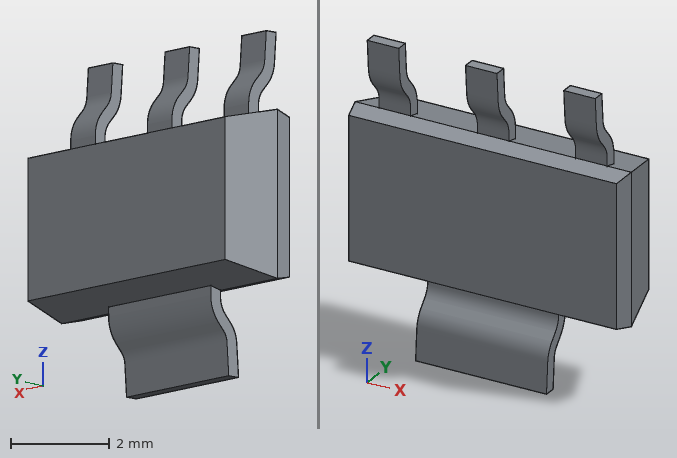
import cadquery as cq
import math

body_width = 6.48
body_height = 3.505
back_depth = 1.19
front_depth = 0.43
draft_angle = 13.0

overall_height = 6.98
tip_z = overall_height / 2
sheet_thickness = 0.27
embed_depth = 0.42
root_z = body_height / 2 - embed_depth
tip_tilt = math.radians(4.0)

lead_width = 0.74
lead_pitch = 2.3
lead_count = 3
lead_bend_z = 1.92
lead_root_radius = 0.49
lead_tip_radius = 0.76
lead_slope_angle = math.radians(41.0)
lead_slope_length = 0.21

tab_width = 3.07
tab_bend_z = 1.89
tab_root_radius = 0.5
tab_tip_radius = 0.65
tab_slope_angle = math.radians(42.5)
tab_slope_length = 0.215


def body_half(depth, direction):
    """One half of the housing, tapering away from the parting plane."""
    plane = cq.Plane(origin=(0, 0, 0), xDir=(1, 0, 0), normal=(0, direction, 0))
    return cq.Workplane(plane).rect(body_width, body_height).extrude(depth, taper=draft_angle)


def polar(center, radius, angle):
    """Point at a radius and angle from a centre in the YZ plane."""
    return (center[0] + radius * math.cos(angle), center[1] + radius * math.sin(angle))


def trace_face(profile, points):
    """Continue a profile along a face made of three straights joined by two arcs."""
    return (
        profile.lineTo(*points[1])
        .threePointArc(points[2], points[3])
        .lineTo(*points[4])
        .threePointArc(points[5], points[6])
        .lineTo(*points[7])
    )


def formed_strip(width, bend_z, root_radius, tip_radius, slope_angle, slope_length):
    """Upward strip that bends toward -Y, runs along a slope and bends back to a tilted tip.

    The radii belong to the front face of the strip.
    """
    root_center = (-root_radius, bend_z)
    slope_end = polar(root_center, root_radius, slope_angle)
    slope_end = polar(slope_end, slope_length, slope_angle + math.pi / 2)
    tip_center = polar(slope_end, tip_radius, slope_angle)
    mid_tip_angle = (slope_angle + tip_tilt) / 2

    def face_points(offset):
        """Points along one face, at an offset behind the front face."""
        outer = root_radius + offset
        inner = tip_radius - offset
        bend_end = polar(tip_center, -inner, tip_tilt)
        tip_y = bend_end[0] - (tip_z - bend_end[1]) * math.tan(tip_tilt)
        return [
            (offset, root_z),
            (offset, bend_z),
            polar(root_center, outer, slope_angle / 2),
            polar(root_center, outer, slope_angle),
            polar(tip_center, -inner, slope_angle),
            polar(tip_center, -inner, mid_tip_angle),
            bend_end,
            (tip_y, tip_z),
        ]

    front = face_points(0)
    back = face_points(sheet_thickness)[::-1]
    profile = cq.Workplane("YZ").moveTo(*front[0])
    profile = trace_face(profile, front).lineTo(*back[0])
    profile = trace_face(profile, back)
    return profile.close().extrude(width / 2, both=True)


def make_lead(x):
    """One narrow lead rising from the top of the housing."""
    lead = formed_strip(
        lead_width, lead_bend_z, lead_root_radius, lead_tip_radius, lead_slope_angle, lead_slope_length
    )
    return lead.translate((x, 0, 0))


def make_tab():
    """The wide tab, mirrored to hang below the housing."""
    tab = formed_strip(
        tab_width, tab_bend_z, tab_root_radius, tab_tip_radius, tab_slope_angle, tab_slope_length
    )
    return tab.mirror("XY")


def make_housing(inserts):
    """Moulded housing with a matching recess for each insert."""
    housing = body_half(back_depth, 1).union(body_half(front_depth, -1))
    for insert in inserts:
        housing = housing.cut(insert)
    return housing


leads = [make_lead((i - (lead_count - 1) / 2) * lead_pitch) for i in range(lead_count)]
tab = make_tab()
housing = make_housing([*leads, tab])

result = cq.Compound.makeCompound([housing.val(), *[lead.val() for lead in leads], tab.val()])